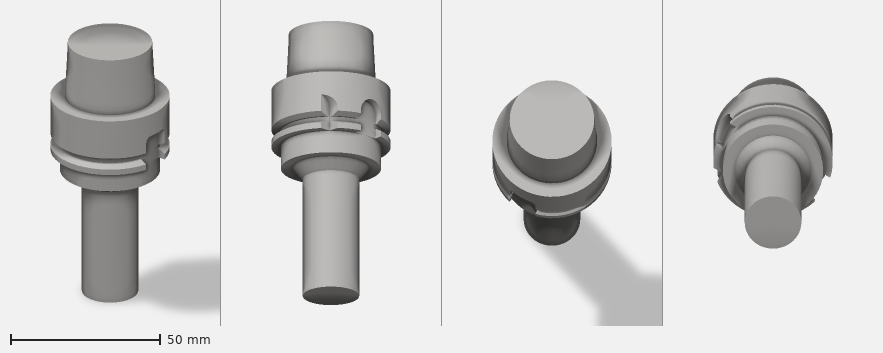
import cadquery as cq

total_height = 92.5
taper_bottom_z = 74.0
collar_top_z = 72.6
groove_top_z = 58.7
groove_floor_top_z = 57.5
groove_floor_bottom_z = 55.8
groove_bottom_z = 54.7
collar_bottom_z = 52.6
boss_bottom_z = 45.05
shank_top_z = 41.3

taper_top_radius = 14.15
taper_bottom_radius = 30.25 / 2
collar_radius = 40.0 / 2
groove_radius = 34.4 / 2
flank_inner_radius = 17.9
boss_radius = 33.6 / 2
cone_top_radius = 12.8
shank_radius = 19.0 / 2

slot_top_z = collar_top_z - 8.05
round_slot_width = 9.2
square_slot_width = 10.0
square_slot_corner_radius = 4.2 / 2
notch_wall_offset = 12.0


def turned_body():
    """Taper, grooved collar, boss and shank, revolved about Z."""
    profile = [
        (0, 0),
        (shank_radius, 0),
        (shank_radius, shank_top_z),
        (cone_top_radius, boss_bottom_z),
        (boss_radius, boss_bottom_z),
        (boss_radius, collar_bottom_z),
        (collar_radius, collar_bottom_z),
        (collar_radius, groove_bottom_z),
        (flank_inner_radius, groove_floor_bottom_z),
        (groove_radius, groove_floor_bottom_z),
        (groove_radius, groove_floor_top_z),
        (flank_inner_radius, groove_floor_top_z),
        (collar_radius, groove_top_z),
        (collar_radius, collar_top_z),
        (taper_bottom_radius, collar_top_z),
        (taper_bottom_radius, taper_bottom_z),
        (taper_top_radius, total_height),
        (0, total_height),
    ]
    return cq.Workplane("XZ").polyline(profile).close().revolve(360, (0, 0), (0, 1))


def slot_cutter(width, corner_radius, center_y, inner_x, outer_x):
    """Bar along X with rounded upper edges, open at the bottom of the collar."""
    half_width = width / 2
    height = slot_top_z - collar_bottom_z
    bar = cq.Workplane("XY").box(outer_x - inner_x, width, height, centered=False)
    bar = bar.translate((inner_x, center_y - half_width, collar_bottom_z))
    return bar.edges("|X and >Z").fillet(corner_radius)


crown_radius = 0.499 * round_slot_width

round_slot = slot_cutter(round_slot_width, crown_radius, 0, -collar_radius, -boss_radius)
square_slot = slot_cutter(square_slot_width, square_slot_corner_radius, 0, boss_radius, collar_radius)

notch_center_y = notch_wall_offset + round_slot_width / 2
corner_notch = slot_cutter(round_slot_width, crown_radius, notch_center_y, -collar_radius, -notch_wall_offset)

result = turned_body().cut(round_slot).cut(square_slot).cut(corner_notch)